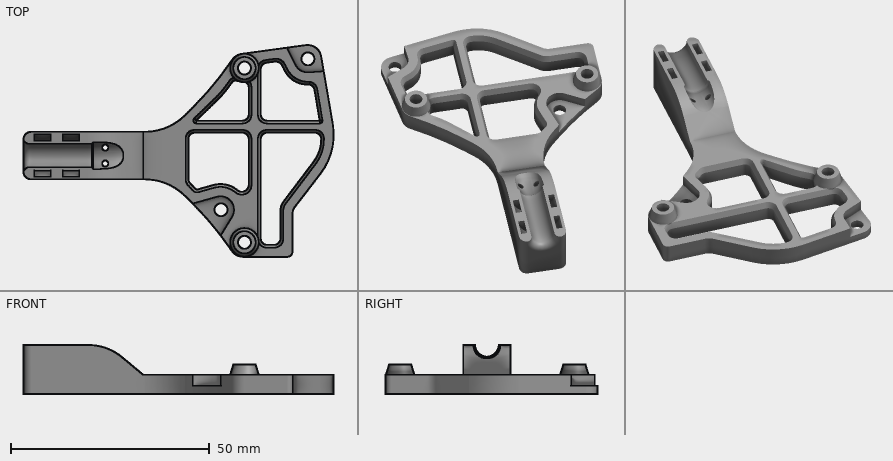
import cadquery as cq
import math

plate_height = 4.9
boss_height = 7.5
pad_height = 2.1
handle_height = 12.38

handle_width = 12.0
handle_corner_radius = 2.0
slope_start_x = 16.27
slope_middle_x = 24.97
slope_middle_z = 9.17
slope_end_x = 30.1

groove_radius = 2.95
groove_mouth_radius = 1.5
groove_wide_radius = 3.4
groove_step_x = 17.25
groove_step_length = 0.4

strap_inner_radius = 3.75
strap_outer_radius = 5.3
strap_width = 4.15
strap_start_xs = (2.8, 9.87)

pin_hole_diameter = 1.5
pin_hole_x = 20.6
pin_hole_y = 2.0

screw_hole_diameter = 3.2
boss_base_radius = 3.6
boss_top_radius = 2.8
boss_x = 55.6
upper_boss_y = 22.0
lower_boss_y = -21.8
upper_pad_hole = (71.55, 24.31)
lower_pad_hole = (49.7, -13.62)
pad_radius = 3.4

flare_x = 36.5
flare_radius = 14.3
bend_x = 48.05
bend_y = 17.55
bend_radius = 80.0
foot_x = 67.7
foot_y = -25.5
foot_top_y = -13.67
foot_corner_radius = 1.4
foot_bend_radius = 3.0
tip_radius = 3.5
nose_radius = 16.0

frame_width = 3.1
rib_width = 3.1
upright_rib_x = 58.18
cross_rib_y = 7.26
window_left_x = 41.55
window_foot_x = foot_x - frame_width
window_foot_y = foot_y + frame_width
window_nose_x = 74.85
window_corner_radius = 1.5
window_chamfer_width = 0.75
window_chamfer_height = 1.4

rib_left_x = upright_rib_x - rib_width / 2
rib_right_x = upright_rib_x + rib_width / 2
rib_lower_y = cross_rib_y - rib_width / 2
rib_upper_y = cross_rib_y + rib_width / 2
pad_border_radius = pad_radius + frame_width


def rounded_outline(corners, z=0.0):
    """Closed outline through (x, y, radius) corners, each rounded by a tangent arc."""
    stretches = []
    for i, (x, y, radius) in enumerate(corners):
        corner = cq.Vector(x, y)
        before = cq.Vector(*corners[i - 1][:2]) - corner
        after = cq.Vector(*corners[(i + 1) % len(corners)][:2]) - corner
        half_angle = before.getAngle(after) / 2
        tangent_length = radius / math.tan(half_angle)
        bisector = (before.normalized() + after.normalized()).normalized()
        gap = radius / math.sin(half_angle) - radius
        start = corner + before.normalized() * tangent_length
        middle = corner + bisector * gap
        end = corner + after.normalized() * tangent_length
        stretches.append((radius, start, middle, end))

    outline = cq.Workplane("XY", origin=(0, 0, z)).moveTo(*stretches[0][3].toTuple()[:2])
    for radius, start, middle, end in stretches[1:] + stretches[:1]:
        outline = outline.lineTo(start.x, start.y)
        if radius > 0:
            outline = outline.threePointArc((middle.x, middle.y), (end.x, end.y))
    return outline.close()


def make_cylinder(x, y, diameter, height):
    return cq.Workplane("XY", origin=(x, y, 0)).circle(diameter / 2).extrude(height)


def make_plate():
    """Flat plate; its outline joins the handle by two mirrored flares."""
    half_width = handle_width / 2
    outline = [
        (slope_start_x, -half_width, 0),
        (flare_x, -half_width, flare_radius),
        (bend_x, -bend_y, bend_radius),
        (53.45, foot_y, lower_boss_y - foot_y),
        (foot_x, foot_y, foot_corner_radius),
        (foot_x, foot_top_y, foot_bend_radius),
        (79.02, 1.02, nose_radius),
        (74.32, 28.25, tip_radius),
        (53.37, 25.38, boss_base_radius),
        (bend_x, bend_y, bend_radius),
        (flare_x, half_width, flare_radius),
        (slope_start_x, half_width, 0),
    ]
    return rounded_outline(outline).extrude(plate_height)


def window_outlines():
    """Corners of the four windows, as (x, y, radius)."""
    r = window_corner_radius
    upper_right = [
        (rib_right_x, rib_upper_y, r),
        (74.47, rib_upper_y, 0),
        (72.93, 17.9, 1.5),
        (67.58, 17.53, pad_border_radius),
        (64.5, 23.77, 1.8),
        (rib_right_x, 23.1, r),
    ]
    upper_left = [
        (43.5, rib_upper_y, 0),
        (rib_left_x, rib_upper_y, r),
        (rib_left_x, 18.6, 1.5),
        (52.75, 18.8, 0.8),
        (50.45, 15.57, 25),
    ]
    lower_left = [
        (window_left_x, rib_lower_y, r),
        (window_left_x, -6.49, r),
        (43.46, -8.58, 0.7),
        (50.93, -6.49, pad_border_radius),
        (rib_left_x, -10.79, 1.7),
        (rib_left_x, rib_lower_y, r),
    ]
    lower_right = [
        (rib_right_x, rib_lower_y, r),
        (rib_right_x, window_foot_y, r),
        (window_foot_x, window_foot_y, r),
        (window_foot_x, -12.62, 4),
        (window_nose_x, 0.93, 9.5),
        (window_nose_x, rib_lower_y, r),
    ]
    return [upper_right, upper_left, lower_left, lower_right]


def make_window(corners):
    """Through opening whose top edge is flared by a steep chamfer."""
    taper = math.degrees(math.atan2(window_chamfer_width, window_chamfer_height))
    chamfer_bottom = plate_height - window_chamfer_height
    opening = rounded_outline(corners).extrude(plate_height)
    chamfer = rounded_outline(corners, chamfer_bottom).extrude(window_chamfer_height, taper=-taper)
    return opening.union(chamfer)


def make_pad_recesses():
    """Recesses above the screw pads; every corner but the first lies off the plate."""
    upper = [(69.45, 20.75, pad_radius), (80, 21.5, 0), (80, 32, 0), (63.8, 32, 0)]
    lower = [(56.92, -8.04, pad_radius), (40, -12.78, 0), (40, -24, 0), (47.3, -24, 0)]
    return [rounded_outline(corners, pad_height).extrude(plate_height) for corners in (upper, lower)]


def make_handle():
    profile = (
        cq.Workplane("XZ", origin=(0, handle_width / 2, 0))
        .lineTo(0, handle_height)
        .lineTo(slope_start_x, handle_height)
        .tangentArcPoint((slope_middle_x, slope_middle_z), relative=False)
        .tangentArcPoint((slope_end_x, plate_height), relative=False)
        .lineTo(slope_end_x, 0)
        .close()
    )
    block = profile.extrude(handle_width)
    return block.edges("|Z and <X").fillet(handle_corner_radius)


def make_groove():
    """Groove turned about the handle's top line: flared mouth, straight run, wider end."""
    mouth_middle = groove_mouth_radius * (1 - math.sqrt(0.5))
    profile = (
        cq.Workplane("XY")
        .lineTo(0, groove_radius + groove_mouth_radius)
        .threePointArc(
            (mouth_middle, groove_radius + mouth_middle),
            (groove_mouth_radius, groove_radius),
        )
        .lineTo(groove_step_x, groove_radius)
        .lineTo(groove_step_x + groove_step_length, groove_wide_radius)
        .lineTo(slope_end_x, groove_wide_radius)
        .lineTo(slope_end_x, 0)
        .close()
    )
    groove = profile.revolve(360, (0, 0, 0), (1, 0, 0))
    return groove.translate((0, 0, handle_height))


def make_strap_slot(start_x):
    """Ring about the handle's top line; its lower half passes under the groove."""
    return (
        cq.Workplane("YZ", origin=(start_x, 0, handle_height))
        .circle(strap_outer_radius)
        .circle(strap_inner_radius)
        .extrude(strap_width)
    )


def make_boss(y):
    """Cylinder through the plate that carries a cone standing above it."""
    height = boss_height - plate_height
    taper = math.degrees(math.atan2(boss_base_radius - boss_top_radius, height))
    base = cq.Workplane("XY", origin=(boss_x, y, plate_height))
    cone = base.circle(boss_base_radius).extrude(height, taper=taper)
    return cone.union(make_cylinder(boss_x, y, 2 * boss_base_radius, plate_height))


result = make_plate()
for window in window_outlines():
    result = result.cut(make_window(window))
for recess in make_pad_recesses():
    result = result.cut(recess)

result = result.union(make_handle())
result = result.cut(make_groove())
for strap_start_x in strap_start_xs:
    result = result.cut(make_strap_slot(strap_start_x))

for boss_y in (upper_boss_y, lower_boss_y):
    result = result.union(make_boss(boss_y))
    result = result.cut(make_cylinder(boss_x, boss_y, screw_hole_diameter, handle_height))
for pad_hole in (upper_pad_hole, lower_pad_hole):
    result = result.cut(make_cylinder(*pad_hole, screw_hole_diameter, handle_height))
for pin_y in (pin_hole_y, -pin_hole_y):
    result = result.cut(make_cylinder(pin_hole_x, pin_y, pin_hole_diameter, handle_height))